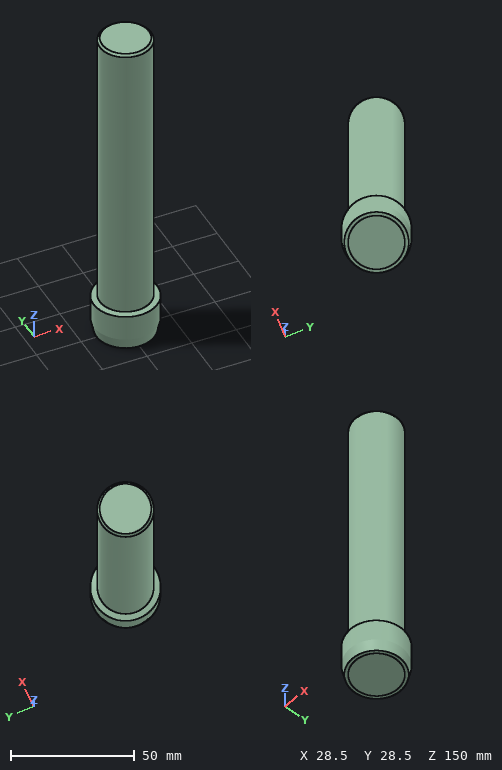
import cadquery as cq

TOTAL_HEIGHT = 150.0
SHAFT_RADIUS = 23.0 / 2
SHAFT_CHAMFER = 1.0

COLLAR_RADIUS = 28.5 / 2
COLLAR_EDGE_HEIGHT = 17.1
COLLAR_TOP_RISE = 0.5
LEAD_IN_HEIGHT = 5.4
LEAD_IN_INSET = 1.2


def make_shaft():
    """Round shaft standing on Z = 0."""
    return (
        cq.Workplane("XY")
        .circle(SHAFT_RADIUS)
        .extrude(TOTAL_HEIGHT)
        .faces(">Z")
        .edges()
        .chamfer(SHAFT_CHAMFER)
    )


def make_collar():
    """Ring with a conical top face and a tapered lead-in at the bottom."""
    bottom_radius = COLLAR_RADIUS - LEAD_IN_INSET
    return (
        cq.Workplane("XZ")
        .moveTo(SHAFT_RADIUS, 0)
        .lineTo(bottom_radius, 0)
        .lineTo(COLLAR_RADIUS, LEAD_IN_HEIGHT)
        .lineTo(COLLAR_RADIUS, COLLAR_EDGE_HEIGHT)
        .lineTo(SHAFT_RADIUS, COLLAR_EDGE_HEIGHT + COLLAR_TOP_RISE)
        .close()
        .revolve(360, (0, 0), (0, 1))
    )


shaft = make_shaft()
collar = make_collar()

result = cq.Compound.makeCompound([shaft.val(), collar.val()])